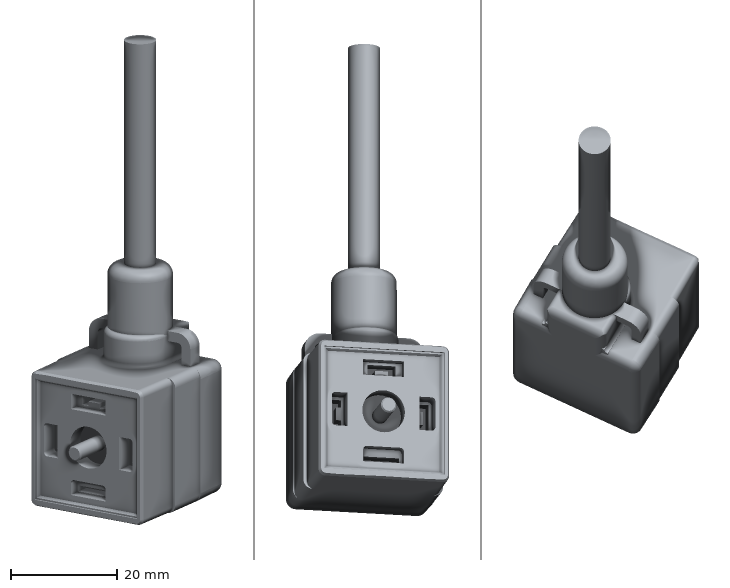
import cadquery as cq
import math


TOTAL_HEIGHT = 89.1
BODY_HEIGHT = 26.55
ROOT_DEPTH = 2.7
ROOT_Z = BODY_HEIGHT - ROOT_DEPTH
BACK_Y = 8.5
SEAM_Y = -0.2
STEP_Y = -8.55
FACE_Y = -18.8
TOTAL_DEPTH = 31.2
PIN_TIP_Y = BACK_Y - TOTAL_DEPTH

REAR_WIDTH = 27.4
REAR_CORNER = 2.05
MIDDLE_WIDTH = 26.9
MIDDLE_CORNER = 1.7
NOSE_WIDTH = 25.5
NOSE_TIP_WIDTH = 25.1
NOSE_CORNER = 1.25
DRAFT = 1.2
BACK_EDGE_RADIUS = 1.7
NOSE_CHAMFER = 0.4
NOSE_CHAMFER_LENGTH = 0.6

AXIS_Z = 13.3
RIM_OPENING = (23.2, 23.9)
RIM_DEPTH = 0.45
PANEL = (21.6, 22.45)
PANEL_DEPTH = 0.9
LEDGE_WIDTH = 0.31
PANEL_Y = FACE_Y + PANEL_DEPTH

SLOT_OFFSET = 8.5
SLOT_LONG = 7.8
SIDE_SLOT_LONG = 6.5
SLOT_SHORT = 3.0
SLOT_CORNER = 0.7
SLOT_DEPTH = 2.0
SIDE_SLOT_DEPTH = 3.6
CONTACT_DEPTH = 2.7
CONTACT_LONG = 5.35
CONTACT_SHORT = 2.0
CONTACT_NOTCH_LONG = 2.5
CONTACT_NOTCH_SHORT = 0.9
EARTH_LONG = 6.9
EARTH_SHORT = 1.2
EARTH_OFFSET = 9.1

WELL_DIAMETER = 8.2
WELL_DEPTH = 3.6
PIN_DIAMETER = 2.9
PIN_CHAMFER = 0.3

CABLE_DIAMETER = 6.1
GLAND_DIAMETER = 12.4
GLAND_TOP = 45.1
GLAND_FLAT_DIAMETER = 8.2
GLAND_EDGE_RADIUS = (GLAND_DIAMETER - GLAND_FLAT_DIAMETER) / 2

COLLAR_RADIUS = 6.2
COLLAR_CENTRE_Y = -1.2
COLLAR_TOP = 32.8
COLLAR_EDGE_RADIUS = 1.1
FLARE_RADIUS = 0.8
FLARE_END_GAP = 0.5
FLARE_END_Y = BACK_Y - FLARE_END_GAP

STRAP_WIDTH = 22.8
STRAP_THICKNESS = 2.0
STRAP_FRONT_Y = SEAM_Y
STRAP_BACK_Y = 3.0
STRAP_OUTER_RADIUS = 2.85
STRAP_INNER_RADIUS = STRAP_OUTER_RADIUS - STRAP_THICKNESS


def facing_front(y, z=0.0):
    """Workplane at the given Y whose positive extrusion runs toward -Y."""
    return cq.Workplane("XZ", origin=(0, y, z))


def facing_back(y, z=0.0):
    """Workplane at the given Y whose positive extrusion runs toward +Y."""
    return cq.Workplane(cq.Plane((0, y, z), xDir=(-1, 0, 0), normal=(0, 1, 0)))


def section(width, corner):
    """Full-height body outline with rounded corners."""
    return cq.Sketch().rect(width, BODY_HEIGHT).vertices().fillet(corner)


def make_body():
    middle_z = BODY_HEIGHT / 2
    rear = facing_back(SEAM_Y, middle_z).placeSketch(section(REAR_WIDTH, REAR_CORNER))
    rear = rear.extrude(BACK_Y - SEAM_Y, taper=DRAFT)
    rear = rear.faces(">Y").edges().fillet(BACK_EDGE_RADIUS)
    middle = facing_front(SEAM_Y, middle_z).placeSketch(section(MIDDLE_WIDTH, MIDDLE_CORNER))
    middle = middle.extrude(SEAM_Y - STEP_Y)
    nose_tip = section(NOSE_TIP_WIDTH, NOSE_CORNER).moved(cq.Location((0, 0, STEP_Y - FACE_Y)))
    nose = (
        facing_front(STEP_Y, middle_z)
        .placeSketch(section(NOSE_WIDTH, NOSE_CORNER), nose_tip)
        .loft()
    )
    nose = nose.faces("<Y").chamfer(NOSE_CHAMFER_LENGTH, NOSE_CHAMFER)
    return rear.union(middle).union(nose)


def face_recess():
    """Shallow two-step recess that leaves a rim round the contact panel."""
    opening = facing_back(FACE_Y, AXIS_Z).rect(*RIM_OPENING).extrude(RIM_DEPTH)
    ledge_size = [side - 2 * LEDGE_WIDTH for side in RIM_OPENING]
    bevel = (
        facing_back(FACE_Y + RIM_DEPTH, AXIS_Z)
        .rect(*ledge_size)
        .workplane(offset=PANEL_DEPTH - RIM_DEPTH)
        .rect(*PANEL)
        .loft(ruled=True)
    )
    return opening.union(bevel)


def slot(length, depth):
    """Slot below the pattern centre, long side along X."""
    return facing_back(PANEL_Y).center(0, -SLOT_OFFSET).rect(length, SLOT_SHORT).extrude(depth)


def channel_opening(floor_y):
    """Channel-shaped contact opening, its notch toward the pattern centre."""
    plane = facing_back(floor_y)
    opening = plane.center(0, -SLOT_OFFSET).rect(CONTACT_LONG, CONTACT_SHORT).extrude(CONTACT_DEPTH)
    notch_z = -SLOT_OFFSET + (CONTACT_SHORT - CONTACT_NOTCH_SHORT) / 2
    notch = plane.center(0, notch_z).rect(CONTACT_NOTCH_LONG, CONTACT_NOTCH_SHORT).extrude(CONTACT_DEPTH)
    return opening.cut(notch)


def earth_opening(floor_y):
    return facing_back(floor_y).center(0, -EARTH_OFFSET).rect(EARTH_LONG, EARTH_SHORT).extrude(CONTACT_DEPTH)


def contact_pockets():
    floor_y = PANEL_Y + SLOT_DEPTH
    side_floor_y = PANEL_Y + SIDE_SLOT_DEPTH
    earth = slot(SLOT_LONG, SLOT_DEPTH).edges("|Y and >Z").fillet(SLOT_CORNER).union(earth_opening(floor_y))
    top = slot(SLOT_LONG, SLOT_DEPTH).union(channel_opening(floor_y))
    pockets = earth.union(top.rotate((0, 0, 0), (0, 1, 0), 180))
    side = slot(SIDE_SLOT_LONG, SIDE_SLOT_DEPTH).edges("|Y and <Z").fillet(SLOT_CORNER)
    side = side.union(channel_opening(side_floor_y))
    for angle in (90, -90):
        pockets = pockets.union(side.rotate((0, 0, 0), (0, 1, 0), angle))
    return pockets.translate((0, 0, AXIS_Z))


def pin_well():
    return facing_back(PANEL_Y, AXIS_Z).circle(WELL_DIAMETER / 2).extrude(WELL_DEPTH)


def centre_pin():
    root_y = PANEL_Y + WELL_DEPTH
    pin = facing_front(root_y, AXIS_Z).circle(PIN_DIAMETER / 2).extrude(root_y - PIN_TIP_Y)
    return pin.faces("<Y").chamfer(PIN_CHAMFER)


def make_collar():
    """Upright block: half round toward -Y, straight sides running to the rear face."""
    height = COLLAR_TOP - ROOT_Z
    front_y = COLLAR_CENTRE_Y - COLLAR_RADIUS
    past_back_y = BACK_Y + 2 * BACK_EDGE_RADIUS
    collar = (
        cq.Workplane("XY", origin=(0, 0, ROOT_Z))
        .moveTo(COLLAR_RADIUS, past_back_y)
        .lineTo(COLLAR_RADIUS, COLLAR_CENTRE_Y)
        .threePointArc((0, front_y), (-COLLAR_RADIUS, COLLAR_CENTRE_Y))
        .lineTo(-COLLAR_RADIUS, past_back_y)
        .close()
        .extrude(height)
    )
    collar = collar.faces(">Z").edges("not(|X)").fillet(COLLAR_EDGE_RADIUS)
    envelope = (
        cq.Workplane("XY", origin=(0, (front_y + BACK_Y) / 2, ROOT_Z))
        .rect(2 * COLLAR_RADIUS, BACK_Y - front_y)
        .extrude(height)
        .faces(">Y")
        .edges("not(<Z)")
        .fillet(BACK_EDGE_RADIUS)
    )
    return collar.intersect(envelope)


def collar_flare():
    """Concave fillet round the collar foot, ending just short of the rear face."""
    foot_radius = COLLAR_RADIUS + FLARE_RADIUS
    top = BODY_HEIGHT + FLARE_RADIUS
    arc_drop = FLARE_RADIUS * math.sqrt(0.5)

    def foot_section(y):
        return (
            cq.Workplane("XZ", origin=(0, y, 0))
            .moveTo(0, BODY_HEIGHT - FLARE_RADIUS)
            .lineTo(foot_radius, BODY_HEIGHT - FLARE_RADIUS)
            .lineTo(foot_radius, BODY_HEIGHT)
            .threePointArc((foot_radius - arc_drop, top - arc_drop), (COLLAR_RADIUS, top))
            .lineTo(0, top)
            .close()
        )

    front = foot_section(COLLAR_CENTRE_Y).revolve(360, (0, 0, 0), (0, 1, 0))
    side = foot_section(COLLAR_CENTRE_Y).extrude(COLLAR_CENTRE_Y - FLARE_END_Y)
    return front.union(side).union(side.mirror("YZ"))


def make_straps():
    """Arch of constant thickness whose legs stand on either side of the collar."""
    strap_depth = STRAP_BACK_Y - STRAP_FRONT_Y

    def arch(width, top, radius):
        block = cq.Workplane("XY").box(width, strap_depth, top - ROOT_Z, centered=(True, False, False))
        return block.translate((0, STRAP_FRONT_Y, ROOT_Z)).edges("|Y and >Z").fillet(radius)

    outer = arch(STRAP_WIDTH, COLLAR_TOP, STRAP_OUTER_RADIUS)
    inner = arch(STRAP_WIDTH - 2 * STRAP_THICKNESS, COLLAR_TOP - STRAP_THICKNESS, STRAP_INNER_RADIUS)
    return outer.cut(inner)


def gland_and_cable():
    gland = cq.Workplane("XY", origin=(0, 0, ROOT_Z)).circle(GLAND_DIAMETER / 2).extrude(GLAND_TOP - ROOT_Z)
    gland = gland.faces(">Z").edges().fillet(GLAND_EDGE_RADIUS)
    cable = cq.Workplane("XY", origin=(0, 0, ROOT_Z)).circle(CABLE_DIAMETER / 2).extrude(TOTAL_HEIGHT - ROOT_Z)
    return gland.union(cable)


body = make_body().cut(face_recess()).cut(contact_pockets()).cut(pin_well())
outlet = make_straps().union(make_collar()).union(collar_flare()).union(gland_and_cable())
result = body.union(centre_pin()).union(outlet)